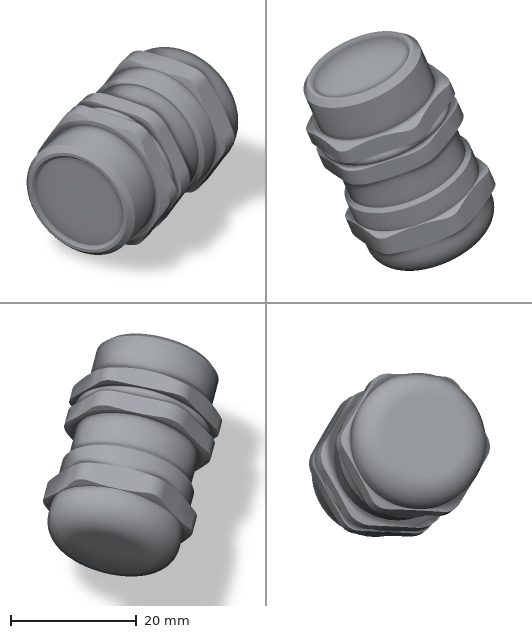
import cadquery as cq
import math

TOTAL_LENGTH = 34.85

BODY_RADIUS = 10.0
BODY_CHAMFER = 0.95
RECESS_MOUTH_RADIUS = 8.5
RECESS_FLOOR_RADIUS = 8.0
RECESS_DEPTH = 0.52

HEX_ACROSS_FLATS = 22.0
HEX_CHAMFER_RADIUS = 10.98
SHARP_CORNER_ROUND = 3.0
SOFT_CORNER_ROUND = 4.5
LOCKNUT_START = 7.25
LOCKNUT_END = 10.3
LOCKNUT_ANGLE = 30.0
BODY_HEX_START = 12.03
BODY_HEX_END = 15.02
BODY_HEX_ANGLE = 15.0
CAP_HEX_START = 24.9
CAP_HEX_END = 28.83
CAP_HEX_ANGLE = 20.0

RING_OUTER_RADIUS = 11.1
RING_SECTION_RADIUS = (BODY_HEX_START - LOCKNUT_END) / 2

CAP_RADIUS = 10.8
CAP_START = 20.8
CAP_CHAMFER = 0.52
DOME_RADIUS = 4.0


def plane_at(y):
    """Plane across the axis at height y, with its normal along +Y and local x along +X."""
    return cq.Workplane(cq.Plane(origin=(0, y, 0), xDir=(1, 0, 0), normal=(0, 1, 0)))


def cylinder(radius, start, end):
    return plane_at(start).circle(radius).extrude(end - start)


def revolve_about_y(points):
    return cq.Workplane("XY").polyline(points).close().revolve(360, (0, 0, 0), (0, 1, 0))


def hexagon(start, end, corner_round, start_angle, end_angle):
    """Rounded hexagon with corners on X; a zero angle leaves that end unchamfered."""
    corner_diameter = HEX_ACROSS_FLATS / math.cos(math.radians(30))
    corner_radius = corner_diameter / 2
    prism = plane_at(start).polygon(6, corner_diameter).extrude(end - start)
    prism = prism.edges("|Y").fillet(corner_round)

    reach = corner_radius - HEX_CHAMFER_RADIUS
    start_drop = reach * math.tan(math.radians(start_angle))
    end_drop = reach * math.tan(math.radians(end_angle))
    profile = [(0, start)]
    profile.append((HEX_CHAMFER_RADIUS if start_angle else corner_radius, start))
    if start_angle:
        profile.append((corner_radius, start + start_drop))
    if end_angle:
        profile.append((corner_radius, end - end_drop))
    profile.append((HEX_CHAMFER_RADIUS if end_angle else corner_radius, end))
    profile.append((0, end))
    return prism.intersect(revolve_about_y(profile))


def threaded_body():
    body = cylinder(BODY_RADIUS, 0, CAP_START + CAP_CHAMFER)
    body = body.faces("<Y").edges().chamfer(BODY_CHAMFER)
    recess = revolve_about_y([
        (0, 0),
        (RECESS_MOUTH_RADIUS, 0),
        (RECESS_FLOOR_RADIUS, RECESS_DEPTH),
        (0, RECESS_DEPTH),
    ])
    return body.cut(recess)


def sealing_ring():
    """Round-section ring with a core that joins it to the body."""
    section_center = RING_OUTER_RADIUS - RING_SECTION_RADIUS
    middle = (LOCKNUT_END + BODY_HEX_START) / 2
    torus = (
        cq.Workplane("XY")
        .center(section_center, middle)
        .circle(RING_SECTION_RADIUS)
        .revolve(360, (-section_center, 0, 0), (-section_center, 1, 0))
    )
    return torus.union(cylinder(BODY_RADIUS, LOCKNUT_END, BODY_HEX_START))


def domed_cap():
    cap = cylinder(CAP_RADIUS, CAP_START, TOTAL_LENGTH)
    cap = cap.faces("<Y").edges().chamfer(CAP_CHAMFER)
    return cap.faces(">Y").edges().fillet(DOME_RADIUS)


result = (
    threaded_body()
    .union(hexagon(LOCKNUT_START, LOCKNUT_END, SHARP_CORNER_ROUND, LOCKNUT_ANGLE, 0))
    .union(sealing_ring())
    .union(hexagon(BODY_HEX_START, BODY_HEX_END, SOFT_CORNER_ROUND, 0, BODY_HEX_ANGLE))
    .union(domed_cap())
    .union(hexagon(CAP_HEX_START, CAP_HEX_END, SHARP_CORNER_ROUND, CAP_HEX_ANGLE, CAP_HEX_ANGLE))
)